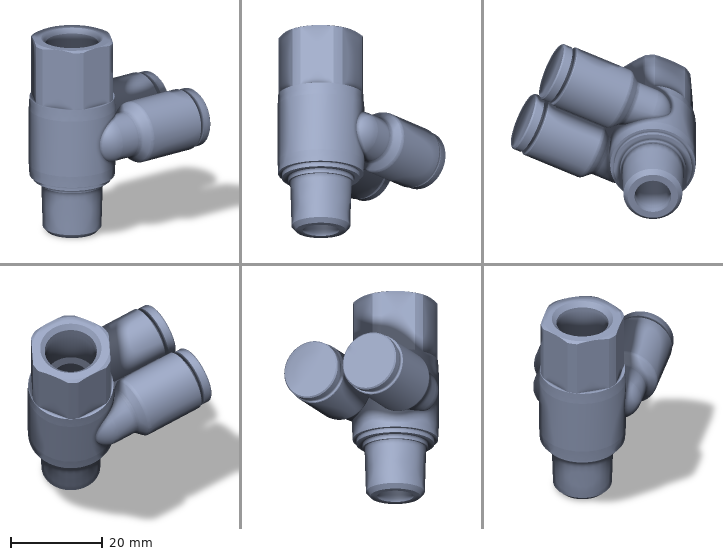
import cadquery as cq
import math

THREAD_CHAMFER_TOP = 1.0
THREAD_TOP = 11.0
COLLAR_TOP = 12.0
WASHER_TOP = 13.0
SLEEVE_TOP = 31.0
TOTAL_HEIGHT = 44.5
SLEEVE_END_LENGTH = 2.6
PORT_HEIGHT = (WASHER_TOP + SLEEVE_TOP) / 2

THREAD_TIP_RADIUS = 5.5
THREAD_BOTTOM_RADIUS = 6.45
THREAD_TOP_RADIUS = 6.75
COLLAR_RADIUS = 7.2
WASHER_RADIUS = 8.55
SLEEVE_RADIUS = 9.5
SLEEVE_END_RADIUS = 9.35

HEX_SIDES = 6
HEX_ACROSS_FLATS = 17.0
HEX_CORNER_RADIUS = 9.25
HEX_CHAMFER_HEIGHT = 0.35

BORE_RADIUS = 4.0
SOCKET_RADIUS = 5.7
SOCKET_MOUTH_RADIUS = 6.7
SOCKET_CHAMFER_DEPTH = 1.0
SOCKET_DEPTH = 11.0

PORT_OFFSET = 7.1
PORT_RADIUS = 6.8
STEM_RADIUS = 5.0
NECK_RADIUS = 4.8
FLANGE_RADIUS = 6.5
STEM_BALL_Y = 4.55
CONE_START_Y = 9.45
CONE_END_Y = 11.55
PORT_END_Y = 25.2
FLANGE_START_Y = 26.1
FLANGE_END_Y = 28.1
PORT_EDGE_CHAMFER = 0.15
FLANGE_EDGE_CHAMFER = 0.3
CONE_FILLET = 1.1

WEB_END_Y = 23.4
WEB_THICKNESS = 2.0

SELECTION_MARGIN = 0.1


def make_core():
    """Thread, collar, washer and sleeve, turned about Z."""
    return (
        cq.Workplane("XZ")
        .moveTo(0, 0)
        .lineTo(THREAD_TIP_RADIUS, 0)
        .lineTo(THREAD_BOTTOM_RADIUS, THREAD_CHAMFER_TOP)
        .lineTo(THREAD_TOP_RADIUS, THREAD_TOP)
        .lineTo(COLLAR_RADIUS, THREAD_TOP)
        .lineTo(COLLAR_RADIUS, COLLAR_TOP)
        .lineTo(WASHER_RADIUS, COLLAR_TOP)
        .lineTo(WASHER_RADIUS, WASHER_TOP)
        .lineTo(SLEEVE_END_RADIUS, WASHER_TOP)
        .lineTo(SLEEVE_RADIUS, WASHER_TOP + SLEEVE_END_LENGTH)
        .lineTo(SLEEVE_RADIUS, SLEEVE_TOP - SLEEVE_END_LENGTH)
        .lineTo(SLEEVE_END_RADIUS, SLEEVE_TOP)
        .lineTo(0, SLEEVE_TOP)
        .close()
        .revolve(360, (0, 0, 0), (0, 1, 0))
    )


def make_hex_head():
    """Hexagon with flats facing +X and -X, trimmed to a round with a chamfered top."""
    height = TOTAL_HEIGHT - SLEEVE_TOP
    chamfer_width = HEX_CORNER_RADIUS - HEX_ACROSS_FLATS / 2
    across_corners = HEX_ACROSS_FLATS / math.cos(math.pi / HEX_SIDES)
    hexagon = (
        cq.Workplane("XY", origin=(0, 0, SLEEVE_TOP))
        .transformed(rotate=(0, 0, 90))
        .polygon(HEX_SIDES, across_corners)
        .extrude(height)
    )
    corner_round = (
        cq.Workplane("XY", origin=(0, 0, SLEEVE_TOP))
        .circle(HEX_CORNER_RADIUS)
        .extrude(height)
        .faces(">Z")
        .chamfer(HEX_CHAMFER_HEIGHT, chamfer_width)
    )
    return hexagon.intersect(corner_round)


def make_port(x):
    """Turned tube port along +Y: ball end, stem, cone, barrel, neck and flange."""
    barrel = (
        cq.Workplane("XY")
        .moveTo(0, STEM_BALL_Y)
        .lineTo(STEM_RADIUS, STEM_BALL_Y)
        .lineTo(STEM_RADIUS, CONE_START_Y)
        .lineTo(PORT_RADIUS, CONE_END_Y)
        .lineTo(PORT_RADIUS, PORT_END_Y - PORT_EDGE_CHAMFER)
        .lineTo(PORT_RADIUS - PORT_EDGE_CHAMFER, PORT_END_Y)
        .lineTo(NECK_RADIUS, PORT_END_Y)
        .lineTo(NECK_RADIUS, FLANGE_START_Y)
        .lineTo(FLANGE_RADIUS, FLANGE_START_Y)
        .lineTo(FLANGE_RADIUS, FLANGE_END_Y - FLANGE_EDGE_CHAMFER)
        .lineTo(FLANGE_RADIUS - FLANGE_EDGE_CHAMFER, FLANGE_END_Y)
        .lineTo(0, FLANGE_END_Y)
        .close()
        .revolve(360, (0, 0, 0), (0, 1, 0))
    )
    cone_edges = cq.selectors.BoxSelector(
        (-PORT_RADIUS, CONE_START_Y - SELECTION_MARGIN, -PORT_RADIUS),
        (PORT_RADIUS, CONE_END_Y + SELECTION_MARGIN, PORT_RADIUS),
    )
    barrel = barrel.edges("%CIRCLE").edges(cone_edges).fillet(CONE_FILLET)
    ball = cq.Workplane("XY").sphere(STEM_RADIUS).translate((0, STEM_BALL_Y, 0))
    return barrel.union(ball).translate((x, 0, PORT_HEIGHT))


def make_web():
    """Flat plate filling the gap between the two ports."""
    return (
        cq.Workplane("XY", origin=(0, 0, PORT_HEIGHT))
        .box(2 * PORT_OFFSET, WEB_END_Y, WEB_THICKNESS, centered=(True, False, True))
    )


def make_bore():
    """Through bore opening into a wider chamfered socket at the top."""
    return (
        cq.Workplane("XZ")
        .moveTo(0, 0)
        .lineTo(BORE_RADIUS, 0)
        .lineTo(BORE_RADIUS, TOTAL_HEIGHT - SOCKET_DEPTH)
        .lineTo(SOCKET_RADIUS, TOTAL_HEIGHT - SOCKET_DEPTH)
        .lineTo(SOCKET_RADIUS, TOTAL_HEIGHT - SOCKET_CHAMFER_DEPTH)
        .lineTo(SOCKET_MOUTH_RADIUS, TOTAL_HEIGHT)
        .lineTo(0, TOTAL_HEIGHT)
        .close()
        .revolve(360, (0, 0, 0), (0, 1, 0))
    )


body = make_core().union(make_hex_head()).union(make_web())
for side in (-1, 1):
    body = body.union(make_port(side * PORT_OFFSET))

result = body.cut(make_bore())